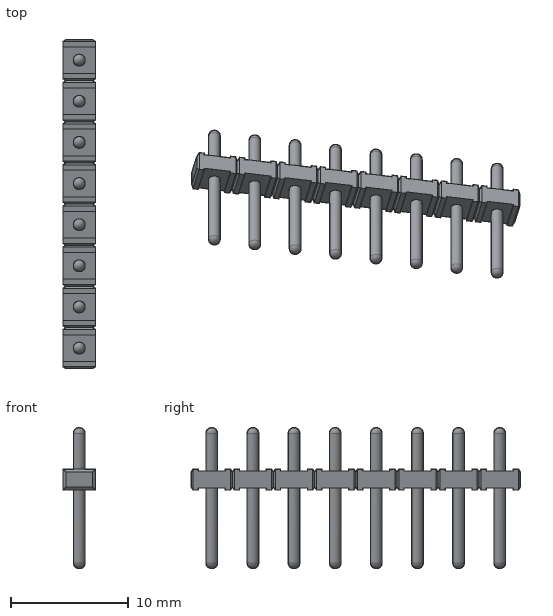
import cadquery as cq

pin_count = 8
row_length = 28.0
pitch = row_length / pin_count

block_width = 2.8
block_height = 1.8
recess_length = 2.27
recess_depth = 0.17
taper_length = 0.17
taper_inset = 0.25
collar_length = (pitch - recess_length) / 2 - taper_length

pin_diameter = 1.0
pin_length = 12.0
pin_rise = 3.53
pin_radius = pin_diameter / 2
pin_top = block_height / 2 + pin_rise
pin_bottom = pin_top - pin_length


def make_block():
    """One block centred on the origin, with a collar and a tapered end on each side."""
    block = cq.Workplane("XY").box(block_width, recess_length, block_height - 2 * recess_depth)
    collar_start = recess_length / 2
    collar_end = collar_start + collar_length
    for side in (-1, 1):
        collar = (
            cq.Workplane("XZ", origin=(0, side * collar_start, 0))
            .rect(block_width, block_height)
            .extrude(-side * collar_length)
        )
        taper = (
            cq.Workplane("XZ", origin=(0, side * collar_end, 0))
            .rect(block_width, block_height)
            .workplane(offset=-side * taper_length)
            .rect(block_width - 2 * taper_inset, block_height - 2 * taper_inset)
            .loft(ruled=True)
        )
        block = block.union(collar).union(taper)
    return block


def make_pin():
    """One round pin on the Z axis with a hemispherical dome at each end."""
    half_profile = (
        cq.Workplane("XZ")
        .moveTo(0, pin_bottom)
        .radiusArc((pin_radius, pin_bottom + pin_radius), -pin_radius)
        .lineTo(pin_radius, pin_top - pin_radius)
        .radiusArc((0, pin_top), -pin_radius)
        .close()
    )
    return half_profile.revolve(360, (0, 0), (0, 1))


pin_position = make_block().union(make_pin())
header = cq.Workplane("XY")
for index in range(pin_count):
    y_offset = (index - (pin_count - 1) / 2) * pitch
    header = header.union(pin_position.translate((0, y_offset, 0)))

result = header.solids()